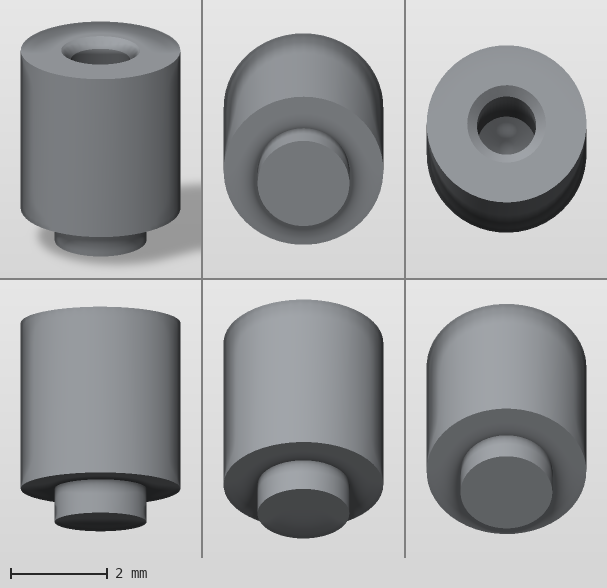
import cadquery as cq
import math

total_height = 4.2
body_diameter = 3.3
pin_diameter = 1.9
pin_height = 0.7

hole_diameter = 1.222
countersink_diameter = 1.625
hole_depth = 2.52
drill_point_angle = 118.0

body_radius = body_diameter / 2
pin_radius = pin_diameter / 2
hole_radius = hole_diameter / 2
countersink_radius = countersink_diameter / 2
countersink_depth = countersink_radius - hole_radius
drill_point_depth = hole_radius / math.tan(math.radians(drill_point_angle / 2))

hole_bottom = total_height - hole_depth

half_section = (
    cq.Workplane("XZ")
    .moveTo(0, 0)
    .lineTo(pin_radius, 0)
    .lineTo(pin_radius, pin_height)
    .lineTo(body_radius, pin_height)
    .lineTo(body_radius, total_height)
    .lineTo(countersink_radius, total_height)
    .lineTo(hole_radius, total_height - countersink_depth)
    .lineTo(hole_radius, hole_bottom)
    .lineTo(0, hole_bottom - drill_point_depth)
    .close()
)

result = half_section.revolve(360, (0, 0, 0), (0, 1, 0))